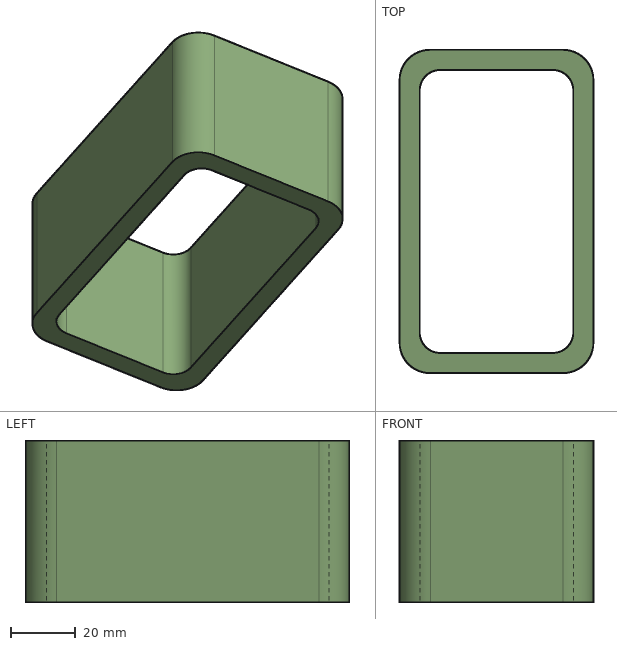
import cadquery as cq

width = 60.0
depth = 100.0
length = 50.0
wall = 6.3
outer_radius = 1.5 * wall
inner_radius = wall


def rounded_bar(size_x, size_y, corner_radius):
    """Solid bar with rounded vertical edges, centred on Z and resting on the XY plane."""
    bar = cq.Workplane("XY").rect(size_x, size_y).extrude(length)
    return bar.edges("|Z").fillet(corner_radius)


outer_body = rounded_bar(width, depth, outer_radius)
bore = rounded_bar(width - 2 * wall, depth - 2 * wall, inner_radius)

result = outer_body.cut(bore)